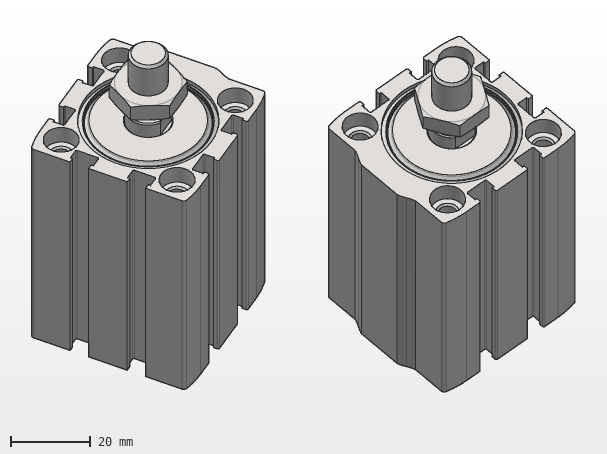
import cadquery as cq
import math

TOTAL_HEIGHT = 88.0
BODY_HEIGHT = 64.9

BODY_WIDTH = 45.0
HALF_WIDTH = BODY_WIDTH / 2
BOSS_HEIGHT = 2.0
BOSS_TOP_HALF_WIDTH = 6.6
BOSS_BASE_HALF_WIDTH = 11.3
BOSS_FLANK_SAG = 0.1
FLANK_HALF_LENGTH = 15.5
FLANK_INSET = 1.0
CORNER_FILLET = 1.0

SLOT_OFFSET = 8.0
SLOT_DEPTH = 4.6
SLOT_WIDTH = 6.4
MOUTH_WIDTH = 5.2
LIP_THICKNESS = 1.5
SLOT_FLOOR_FILLET = 0.35
MOUTH_FILLET = 0.4

HOLE_PITCH = 32.5
HALF_PITCH = HOLE_PITCH / 2
HOLE_DIA = 4.9
HOLE_CHAMFER = 0.5
COUNTERBORE_DIA = 9.0
COUNTERBORE_DEPTH = 5.0

RECESS_DIA = 35.4
RECESS_DEPTH = 1.2
RIM_INNER_DIA = 32.6
RIM_OUTER_DIA = 33.1
RIM_DROP = 0.5
GROOVE_INNER_DIA = 32.0
GROOVE_DEPTH = 1.2
COVER_CHAMFER_TOP_DROP = 0.3
COVER_CHAMFER_END_DROP = 1.1
COVER_FACE_DIA = 29.7
COVER_CHAMFER_DIA = 30.3
COVER_FACE_DROP = 0.1
ROD_SEAT_CHAMFER = 0.3

ROD_DIA = 12.0
ROD_FLATS = 10.0
ROD_SEAT_DEPTH = 5.0
ROD_SHOULDER_Z = 69.2
ROD_EDGE_CHAMFER = 0.35
NECK_DIA = 8.1
NECK_END_DIA = 8.6
NECK_TAPER = 0.4
THREAD_DIA = 10.0
THREAD_BOTTOM_Z = 71.0
THREAD_CHAMFER = 0.7

NUT_FLATS = 17.0
NUT_THICKNESS = 5.0
NUT_BOTTOM_Z = 72.95
NUT_CHAMFER_ANGLE = 15.0

NUT_CORNER_DIA = NUT_FLATS / math.cos(math.pi / 6)


def housing_outline():
    """Square section with bowed corners and a raised pad on the +Y side."""
    end_x = HALF_WIDTH - FLANK_INSET
    run = HALF_WIDTH - FLANK_HALF_LENGTH
    radius = (run**2 + FLANK_INSET**2) / (2 * FLANK_INSET)
    mid_y = FLANK_HALF_LENGTH + run / 2
    mid_x = HALF_WIDTH - radius + math.sqrt(radius**2 - (run / 2) ** 2)
    boss_mid_x = (BOSS_TOP_HALF_WIDTH + BOSS_BASE_HALF_WIDTH) / 2
    boss_mid_y = HALF_WIDTH + BOSS_HEIGHT / 2
    boss_top_y = HALF_WIDTH + BOSS_HEIGHT
    return (
        cq.Workplane("XY")
        .moveTo(0, -HALF_WIDTH)
        .lineTo(end_x, -HALF_WIDTH)
        .threePointArc((mid_x, -mid_y), (HALF_WIDTH, -FLANK_HALF_LENGTH))
        .lineTo(HALF_WIDTH, FLANK_HALF_LENGTH)
        .threePointArc((mid_x, mid_y), (end_x, HALF_WIDTH))
        .lineTo(BOSS_BASE_HALF_WIDTH, HALF_WIDTH)
        .sagittaArc((boss_mid_x, boss_mid_y), BOSS_FLANK_SAG)
        .sagittaArc((BOSS_TOP_HALF_WIDTH, boss_top_y), -BOSS_FLANK_SAG)
        .lineTo(0, boss_top_y)
        .mirrorY()
    )


def body_blank():
    end_x = HALF_WIDTH - FLANK_INSET
    blank = housing_outline().extrude(BODY_HEIGHT)
    for x in (-end_x, end_x):
        for y in (-HALF_WIDTH, HALF_WIDTH):
            corner = cq.selectors.NearestToPointSelector((x, y, BODY_HEIGHT / 2))
            blank = blank.edges(corner).fillet(CORNER_FILLET)
    return blank


def t_slot(offset, angle, mouth_fillet=0):
    """Full-height T-slot cutter for the -Y face, turned about Z by the angle."""
    floor_y = SLOT_DEPTH - HALF_WIDTH
    lip_y = LIP_THICKNESS - HALF_WIDTH
    chamber = (
        cq.Workplane("XY")
        .center(offset, (floor_y + lip_y) / 2)
        .rect(SLOT_WIDTH, floor_y - lip_y)
        .extrude(BODY_HEIGHT)
        .edges("|Z and >Y")
        .fillet(SLOT_FLOOR_FILLET)
    )
    half = MOUTH_WIDTH / 2
    mouth = (
        cq.Workplane("XY")
        .center(offset, -HALF_WIDTH)
        .moveTo(-half, LIP_THICKNESS)
        .lineTo(-half, mouth_fillet)
    )
    if mouth_fillet:
        mouth = mouth.radiusArc((-half - mouth_fillet, 0), mouth_fillet)
        mouth = mouth.lineTo(half + mouth_fillet, 0)
        mouth = mouth.radiusArc((half, mouth_fillet), mouth_fillet)
    else:
        mouth = mouth.lineTo(half, 0)
    mouth = mouth.lineTo(half, LIP_THICKNESS).close().extrude(BODY_HEIGHT)
    return chamber.union(mouth).rotate((0, 0, 0), (0, 0, 1), angle)


def mounting_hole(x, y):
    """Cutter for a counterbored through hole with a chamfered inner edge."""
    floor_z = BODY_HEIGHT - COUNTERBORE_DEPTH
    hole_r = HOLE_DIA / 2
    return (
        cq.Workplane("XZ")
        .polyline([
            (0, 0),
            (hole_r, 0),
            (hole_r, floor_z - HOLE_CHAMFER),
            (hole_r + HOLE_CHAMFER, floor_z),
            (COUNTERBORE_DIA / 2, floor_z),
            (COUNTERBORE_DIA / 2, BODY_HEIGHT),
            (0, BODY_HEIGHT),
        ])
        .close()
        .revolve(360, (0, 0, 0), (0, 1, 0))
        .translate((x, y, 0))
    )


def end_face_recess():
    """Cutter for the sloping rim, groove and cover face around the rod."""
    top = BODY_HEIGHT
    return (
        cq.Workplane("XZ")
        .polyline([
            (0, top),
            (0, top - COVER_FACE_DROP),
            (COVER_FACE_DIA / 2, top - COVER_FACE_DROP),
            (COVER_CHAMFER_DIA / 2, top - COVER_CHAMFER_TOP_DROP),
            (GROOVE_INNER_DIA / 2, top - COVER_CHAMFER_END_DROP),
            (GROOVE_INNER_DIA / 2, top - GROOVE_DEPTH),
            (RIM_INNER_DIA / 2, top - GROOVE_DEPTH),
            (RIM_INNER_DIA / 2, top - RIM_DROP),
            (RIM_OUTER_DIA / 2, top - RIM_DROP),
            (RECESS_DIA / 2, top - RECESS_DEPTH),
            (RECESS_DIA / 2, top),
        ])
        .close()
        .revolve(360, (0, 0, 0), (0, 1, 0))
    )


def rod_seat():
    """Cutter for the blind hole that holds the rod, with a chamfered mouth."""
    face_z = BODY_HEIGHT - COVER_FACE_DROP
    seat_z = BODY_HEIGHT - ROD_SEAT_DEPTH
    r = ROD_DIA / 2
    return (
        cq.Workplane("XZ")
        .polyline([
            (0, seat_z),
            (r, seat_z),
            (r, face_z - ROD_SEAT_CHAMFER),
            (r + ROD_SEAT_CHAMFER, face_z),
            (0, face_z),
        ])
        .close()
        .revolve(360, (0, 0, 0), (0, 1, 0))
    )


def make_housing():
    housing = body_blank()
    for offset in (-SLOT_OFFSET, SLOT_OFFSET):
        housing = housing.cut(t_slot(offset, 0))
        for angle in (-90, 90):
            housing = housing.cut(t_slot(offset, angle, MOUTH_FILLET))
    for x in (-HALF_PITCH, HALF_PITCH):
        for y in (-HALF_PITCH, HALF_PITCH):
            housing = housing.cut(mounting_hole(x, y))
    return housing.cut(end_face_recess()).cut(rod_seat())


def make_rod():
    """Turned rod with a necked thread and two wrench flats facing -X and +X."""
    seat_z = BODY_HEIGHT - ROD_SEAT_DEPTH
    flat_z = BODY_HEIGHT - COVER_FACE_DROP - ROD_SEAT_CHAMFER
    rod_r = ROD_DIA / 2
    neck_r = NECK_DIA / 2
    neck_end_r = NECK_END_DIA / 2
    thread_r = THREAD_DIA / 2
    neck_top_z = THREAD_BOTTOM_Z - (thread_r - neck_end_r)
    rod = (
        cq.Workplane("XZ")
        .polyline([
            (0, seat_z),
            (rod_r, seat_z),
            (rod_r, ROD_SHOULDER_Z - ROD_EDGE_CHAMFER),
            (rod_r - ROD_EDGE_CHAMFER, ROD_SHOULDER_Z),
            (neck_end_r, ROD_SHOULDER_Z),
            (neck_r, ROD_SHOULDER_Z + NECK_TAPER),
            (neck_r, neck_top_z - NECK_TAPER),
            (neck_end_r, neck_top_z),
            (thread_r, THREAD_BOTTOM_Z),
            (thread_r, TOTAL_HEIGHT - THREAD_CHAMFER),
            (thread_r - THREAD_CHAMFER, TOTAL_HEIGHT),
            (0, TOTAL_HEIGHT),
        ])
        .close()
        .revolve(360, (0, 0, 0), (0, 1, 0))
    )
    flats_height = ROD_SHOULDER_Z - flat_z
    for side in (-1, 1):
        flat_cutter = (
            cq.Workplane("XY", origin=(side * ROD_DIA, 0, flat_z))
            .rect(2 * ROD_DIA - ROD_FLATS, 2 * ROD_DIA)
            .extrude(flats_height)
        )
        rod = rod.cut(flat_cutter)
    return rod


def make_nut():
    """Hexagon nut with corners along Y, bevelled on both faces."""
    hexagon = (
        cq.Workplane("XY", origin=(0, 0, NUT_BOTTOM_Z))
        .polygon(6, NUT_CORNER_DIA)
        .extrude(NUT_THICKNESS)
        .rotate((0, 0, 0), (0, 0, 1), 90)
    )
    bevel_run = (NUT_CORNER_DIA - NUT_FLATS) / 2
    bevel_drop = bevel_run * math.tan(math.radians(NUT_CHAMFER_ANGLE))
    bevel_envelope = (
        cq.Workplane("XY", origin=(0, 0, NUT_BOTTOM_Z))
        .circle(NUT_CORNER_DIA / 2)
        .extrude(NUT_THICKNESS)
        .faces("<Z or >Z")
        .chamfer(bevel_drop, bevel_run)
    )
    bore = (
        cq.Workplane("XY", origin=(0, 0, NUT_BOTTOM_Z))
        .circle(THREAD_DIA / 2)
        .extrude(NUT_THICKNESS)
    )
    return hexagon.intersect(bevel_envelope).cut(bore)


housing = make_housing().solids()
piston_rod = make_rod().solids()
lock_nut = make_nut().solids()

result = cq.Compound.makeCompound([housing.val(), piston_rod.val(), lock_nut.val()])